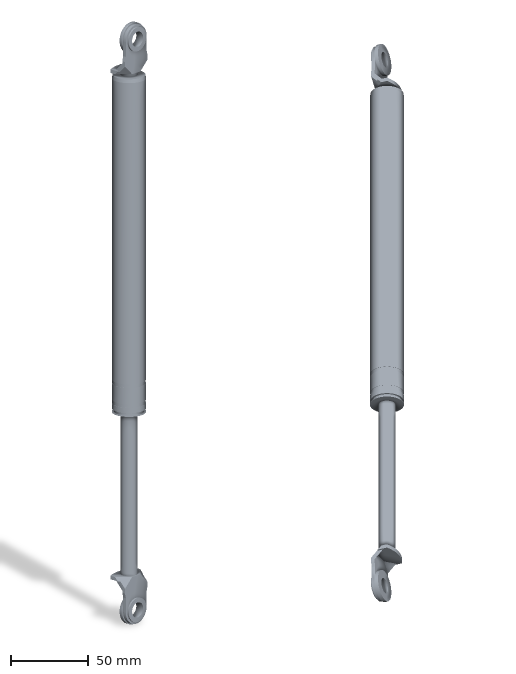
import cadquery as cq
import math

half_length = 203.0

tube_radius = 11.0
tube_top = 167.3
tube_bottom = -60.5
tube_edge_height = 2.5
tube_edge_inset = 0.5
groove_height = 2.5
groove_depth = 0.2
groove_tops = (-38.5, -52.0)
bottom_groove_height = 2.5
bottom_groove_depth = 1.2
bottom_lip = 0.5

rod_radius = 11.0 / 2

sheet = 2.5
plate_outer = 172.0
plate_inner = plate_outer - sheet
plate_half_width = 23.0 / 2
plate_corner_x = -5.3
plate_edge_x = -8.0
leg_back_x = 6.5
leg_front_x = leg_back_x - sheet
leg_half_width = 19.0 / 2
wing_half_width = 20.7 / 2
wing_top = 179.5
leg_taper_top = 182.5
fold_half_width = 4.5

flange_radius = 20.7 / 2
flange_thickness = 2.5
sleeve_radius = 8.0
sleeve_projection = 1.2
bore_radius = 10.0 / 2
eye_height = half_length - flange_radius


def make_tube():
    """Solid of revolution with a chamfered top, a neck, two grooves and a lipped bottom."""
    height = tube_top - tube_bottom
    body = cq.Workplane("XY").workplane(offset=tube_bottom).circle(tube_radius).extrude(height)
    body = body.faces(">Z").chamfer(tube_edge_height, tube_edge_inset)
    for groove_top in groove_tops:
        body = body.cut(ring(groove_top - groove_height, groove_height, groove_depth))
    body = body.cut(ring(tube_bottom + bottom_lip, bottom_groove_height - bottom_lip, bottom_groove_depth))
    neck_height = plate_inner - tube_top
    neck = cq.Workplane("XY").workplane(offset=tube_top).circle(rod_radius).extrude(neck_height)
    return body.union(neck)


def ring(bottom, height, depth):
    """Ring that reaches the given depth into the tube surface."""
    plane = cq.Workplane("XY").workplane(offset=bottom)
    return plane.circle(tube_radius + depth).circle(tube_radius - depth).extrude(height)


def make_rod():
    rod_length = tube_bottom + plate_inner
    return cq.Workplane("XY").workplane(offset=-plate_inner).circle(rod_radius).extrude(rod_length)


def corner_space(back_x, floor_z, fold):
    """Space in front of x = back_x and above floor_z, its two back corners cut off obliquely.

    Each oblique plane leans equally to X, Y and Z and leaves a straight bend
    of half-width fold between the floor and the back.
    """
    reach = 2 * half_length
    space = cq.Workplane("XY").box(reach, reach, reach, centered=(False, True, False))
    space = space.translate((back_x - reach, 0, floor_z))
    for side in (1, -1):
        bend_end = (back_x, side * fold, floor_z)
        plane = cq.Plane(origin=bend_end, xDir=(1, -side, 0), normal=(1, side, -1))
        space = space.cut(cq.Workplane(plane).rect(4 * reach, 4 * reach).extrude(4 * reach))
    return space


def make_bracket():
    """Upper bracket: plate and leg of one sheet, joined by an oblique wing at each side."""
    outer_fold = fold_half_width + (math.sqrt(3) - 2) * sheet
    bracket = corner_space(leg_back_x, plate_inner, outer_fold)
    bracket = bracket.cut(corner_space(leg_front_x, plate_outer, fold_half_width))

    plan = (
        cq.Workplane("XY").workplane(offset=plate_inner)
        .moveTo(leg_back_x, -plate_half_width)
        .lineTo(plate_corner_x, -plate_half_width)
        .threePointArc((plate_edge_x, 0), (plate_corner_x, plate_half_width))
        .lineTo(leg_back_x, plate_half_width)
        .close()
        .extrude(half_length - plate_inner)
    )
    elevation = (
        cq.Workplane("YZ").workplane(offset=plate_edge_x)
        .moveTo(-plate_half_width, plate_inner)
        .lineTo(-plate_half_width, plate_outer)
        .lineTo(-wing_half_width, plate_outer)
        .lineTo(-wing_half_width, wing_top)
        .lineTo(-leg_half_width, leg_taper_top)
        .lineTo(-leg_half_width, eye_height)
        .threePointArc((0, eye_height + leg_half_width), (leg_half_width, eye_height))
        .lineTo(leg_half_width, leg_taper_top)
        .lineTo(wing_half_width, wing_top)
        .lineTo(wing_half_width, plate_outer)
        .lineTo(plate_half_width, plate_outer)
        .lineTo(plate_half_width, plate_inner)
        .close()
        .extrude(leg_back_x - plate_edge_x)
    )
    return bracket.intersect(plan).intersect(elevation).cut(eye_cylinder(leg_front_x, sleeve_radius, sheet))


def eye_cylinder(start_x, radius, length):
    """Cylinder along X, centred on the eye of the upper bracket."""
    return cq.Workplane("YZ").workplane(offset=start_x).center(0, eye_height).circle(radius).extrude(length)


def make_bushing():
    """Flanged sleeve filling the eye of the upper bracket, flange on the -X side."""
    flange_x = leg_front_x - flange_thickness
    sleeve_length = flange_thickness + sheet + sleeve_projection
    flange = eye_cylinder(flange_x, flange_radius, flange_thickness)
    sleeve = eye_cylinder(flange_x, sleeve_radius, sleeve_length)
    return flange.union(sleeve).cut(eye_cylinder(flange_x, bore_radius, sleeve_length))


def at_both_ends(body):
    """The upper body and its mirror image at the lower end."""
    return [body.val(), body.mirror("XY").val()]


tube = make_tube()
rod = make_rod()
brackets = at_both_ends(make_bracket())
bushings = at_both_ends(make_bushing())

result = cq.Compound.makeCompound([tube.val(), rod.val(), *brackets, *bushings])